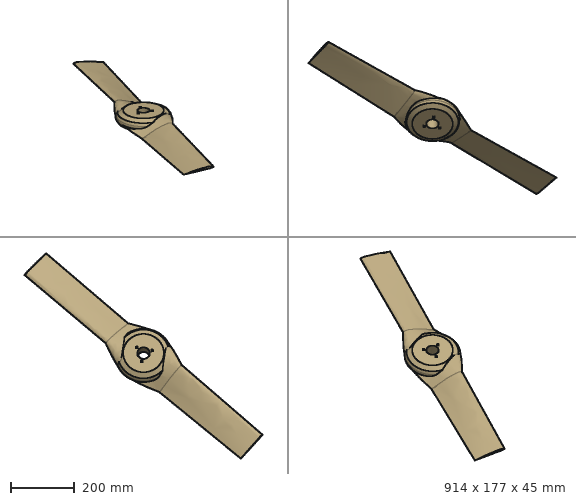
import cadquery as cq

span = 914
hub_diameter = 177.0
hub_height = 45.0
hub_face_diameter = 128.0

bore_diameter = 38.0
pin_diameter = 6.3
pin_circle_radius = 28.0
pin_count = 3
pin_start_angle = 60

shoulder_radius = 81.0
shoulder_height = 14.0
belly_radius = 87.0
belly_half_height = 5.5

root_half_chord = 53.0
root_x = 113.0
root_section = (root_x, root_half_chord, 14.0, -20.0, 15.0)
tip_section = (span / 2, 51.0, 5.5, -5.5, 8.0)
fairing_sections = [
    (5.0, 87.0, 1.0, -1.0, 25.0),
    (37.0, 81.0, 3.0, -4.0, 26.0),
    (73.0, 69.5, 9.0, -12.0, 23.0),
    root_section,
]

upper_shape = [(0.04, 0.32), (0.25, 0.75), (0.6, 0.6)]
lower_shape = [(0.6, -0.15), (0.25, -0.25), (0.04, -0.18)]


def airfoil(section):
    """Closed airfoil wire in a plane across the blade, leading edge toward +Y."""
    x, half_chord, leading_z, trailing_z, thickness = section

    def place(point):
        chord_fraction, height_fraction = point
        y = half_chord * (1 - 2 * chord_fraction)
        z = leading_z + (trailing_z - leading_z) * chord_fraction
        return cq.Vector(x, y, z + height_fraction * thickness)

    leading = place((0, 0))
    trailing = place((1, 0))
    upper = cq.Edge.makeSpline([leading] + [place(p) for p in upper_shape] + [trailing])
    lower = cq.Edge.makeSpline([trailing] + [place(p) for p in lower_shape] + [leading])
    return cq.Wire.assembleEdges([upper, lower])


def make_blade():
    """One blade along +X: a straight outer part and a smooth fairing into the hub."""
    outer = cq.Solid.makeLoft([airfoil(root_section), airfoil(tip_section)], True)
    fairing = cq.Solid.makeLoft([airfoil(s) for s in fairing_sections])
    return cq.Workplane(outer).union(cq.Workplane(fairing))


def make_hub():
    """Disc with flat faces and a beveled, rounded rim, symmetric about the XY plane."""
    half_height = hub_height / 2
    face_radius = hub_face_diameter / 2
    return (
        cq.Workplane("XZ")
        .moveTo(0, -half_height)
        .lineTo(face_radius, -half_height)
        .lineTo(shoulder_radius, -shoulder_height)
        .lineTo(belly_radius, -belly_half_height)
        .threePointArc((hub_diameter / 2, 0), (belly_radius, belly_half_height))
        .lineTo(shoulder_radius, shoulder_height)
        .lineTo(face_radius, half_height)
        .lineTo(0, half_height)
        .close()
        .revolve(360, (0, 0), (0, 1))
    )


blade = make_blade()
opposite_blade = blade.rotate((0, 0, 0), (0, 0, 1), 180)
propeller = make_hub().union(blade).union(opposite_blade)

bottom = cq.Workplane("XY").workplane(offset=-hub_height)
bore = bottom.circle(bore_diameter / 2).extrude(2 * hub_height)
pins = (
    bottom.polarArray(pin_circle_radius, pin_start_angle, 360, pin_count)
    .circle(pin_diameter / 2)
    .extrude(2 * hub_height)
)
result = propeller.cut(bore).cut(pins)